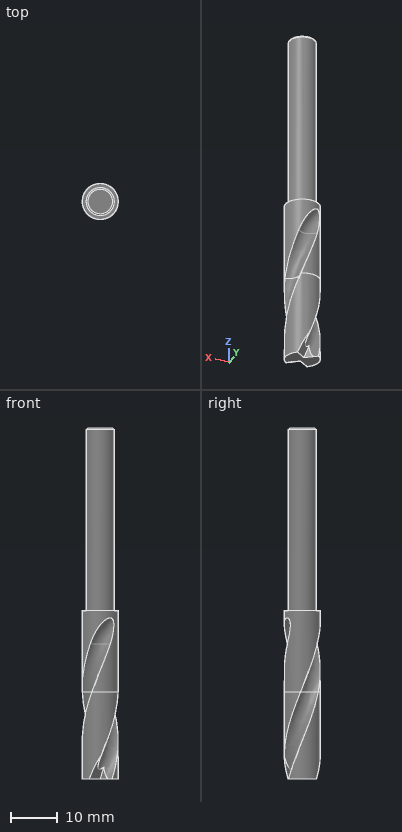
import cadquery as cq
import math

TOTAL_LENGTH = 75.0
BODY_DIAMETER = 7.7
BODY_LENGTH = 36.0
SHANK_DIAMETER = 6.0
SHANK_CHAMFER = 0.4
TIP_LENGTH = 18.6

FLUTE_COUNT = 2
FLUTE_LEAD = 60.0
FLUTE_RADIUS = 2.55
CORE_RADIUS = 2.0
FLUTE_LENGTH = 28.9
RUNOUT_LENGTH = 5.55
RUNOUT_SECTIONS = 6
RUNOUT_START_ANGLE = 270.0

GASH_APEX = (0.0, -1.0)
GASH_LIP = (1.5, -2.1)
GASH_SIDE = (-3.4, -3.9)
GASH_OUTER_Y = -4.9
GASH_LEAN = (0.3, -0.35)
GASH_HEIGHT = 6.0

body_radius = BODY_DIAMETER / 2
flute_offset = CORE_RADIUS + FLUTE_RADIUS
pitch_angle = 360.0 / FLUTE_COUNT


def twist_at(height):
    """Angle in degrees that a flute turns through over a height."""
    return 360.0 * height / FLUTE_LEAD


def make_helical_flute():
    """Full-depth stretch of the first flute, starting at the end face."""
    start_angle = math.radians(RUNOUT_START_ANGLE - twist_at(FLUTE_LENGTH))
    center = (flute_offset * math.cos(start_angle), flute_offset * math.sin(start_angle))
    return (
        cq.Workplane("XY")
        .pushPoints([center])
        .circle(FLUTE_RADIUS)
        .twistExtrude(FLUTE_LENGTH, twist_at(FLUTE_LENGTH))
    )


def make_runout():
    """Upper end of the first flute, still turning while it rises along an arc."""
    surface_rise = body_radius - CORE_RADIUS
    arc_radius = (RUNOUT_LENGTH**2 + surface_rise**2) / (2 * surface_rise)
    sections = []
    for index in range(RUNOUT_SECTIONS):
        height = RUNOUT_LENGTH * index / (RUNOUT_SECTIONS - 1)
        rise = arc_radius - math.sqrt(arc_radius**2 - height**2)
        angle = RUNOUT_START_ANGLE + twist_at(height)
        section = cq.Wire.makeCircle(
            FLUTE_RADIUS,
            cq.Vector(flute_offset + rise, 0, FLUTE_LENGTH + height),
            cq.Vector(0, 0, 1),
        )
        sections.append(section.rotate(cq.Vector(0, 0, 0), cq.Vector(0, 0, 1), angle))
    return cq.Workplane(obj=cq.Solid.makeLoft(sections))


def make_gash():
    """Leaning wedge that opens the end of the first flute toward the axis."""
    corners = [GASH_APEX, GASH_LIP, (GASH_LIP[0], GASH_OUTER_Y), GASH_SIDE]
    outline = cq.Wire.makePolygon([cq.Vector(x, y, 0) for x, y in corners], close=True)
    lean_x, lean_y = GASH_LEAN
    direction = cq.Vector(lean_x, lean_y, 1) * GASH_HEIGHT
    return cq.Workplane(obj=cq.Solid.extrudeLinear(outline, [], direction))


def cut_around(body, cutter, first_turn=0.0):
    """Cut one copy of the cutter for each flute."""
    for index in range(FLUTE_COUNT):
        turn = first_turn + index * pitch_angle
        body = body.cut(cutter.rotate((0, 0, 0), (0, 0, 1), turn))
    return body


def make_tip(flute):
    """Fluted cutting tip with gashed end."""
    tip = cq.Workplane("XY").circle(body_radius).extrude(TIP_LENGTH)
    tip = cut_around(tip, flute)
    return cut_around(tip, make_gash(), pitch_angle)


def make_holder(flute):
    """Shank with the fluted upper part of the body."""
    holder = (
        cq.Workplane("XY")
        .workplane(offset=TIP_LENGTH)
        .circle(body_radius)
        .extrude(BODY_LENGTH - TIP_LENGTH)
    )
    holder = cut_around(holder, flute)
    holder = cut_around(holder, make_runout())
    shank = (
        cq.Workplane("XY")
        .workplane(offset=BODY_LENGTH)
        .circle(SHANK_DIAMETER / 2)
        .extrude(TOTAL_LENGTH - BODY_LENGTH)
        .faces(">Z")
        .chamfer(SHANK_CHAMFER)
    )
    return holder.union(shank)


helical_flute = make_helical_flute()
tip = make_tip(helical_flute)
holder = make_holder(helical_flute)

result = cq.Compound.makeCompound([tip.solids().val(), holder.solids().val()])